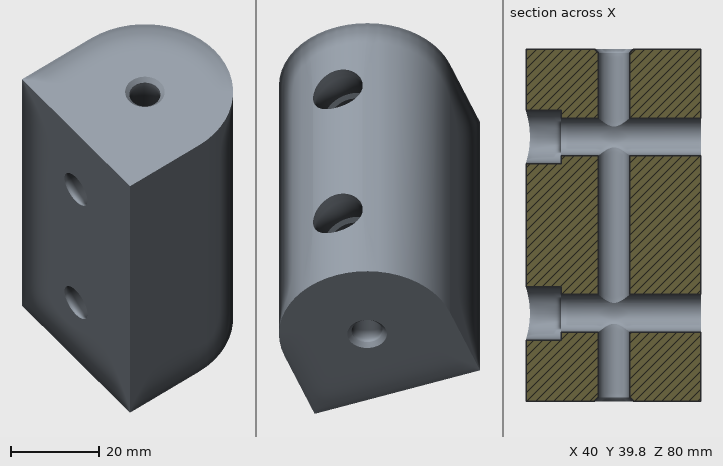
import cadquery as cq

height = 80.0
width = 40.0
flat_depth = 19.8
round_radius = width / 2

cross_hole_diameter = 8.5
cross_hole_spacing = 40.0
counterbore_diameter = 12.0
counterbore_depth = 8.0

axial_hole_diameter = 7.0
countersink_diameter = 9.0
countersink_angle = 90.0


def make_body():
    """D-shaped block: flat front, half-round back."""
    return (
        cq.Workplane("XY")
        .moveTo(-round_radius, -flat_depth)
        .lineTo(round_radius, -flat_depth)
        .lineTo(round_radius, 0)
        .threePointArc((0, round_radius), (-round_radius, 0))
        .close()
        .extrude(height)
    )


def cut_axial_hole(body):
    """Through hole along Z, countersunk at both ends."""
    body = body.faces(">Z").workplane(origin=(0, 0, height)).cskHole(
        axial_hole_diameter, countersink_diameter, countersink_angle
    )
    return body.faces("<Z").workplane(origin=(0, 0, 0)).cskHole(
        axial_hole_diameter, countersink_diameter, countersink_angle
    )


def cut_cross_holes(body):
    """Two bolt holes along Y, counterbored from the rounded back."""
    for side in (-1, 1):
        z = height / 2 + side * cross_hole_spacing / 2
        back = cq.Workplane("XZ", origin=(0, round_radius, z))
        bolt_hole = back.circle(cross_hole_diameter / 2).extrude(round_radius + flat_depth)
        counterbore = back.circle(counterbore_diameter / 2).extrude(counterbore_depth)
        body = body.cut(bolt_hole).cut(counterbore)
    return body


result = cut_cross_holes(cut_axial_hole(make_body()))